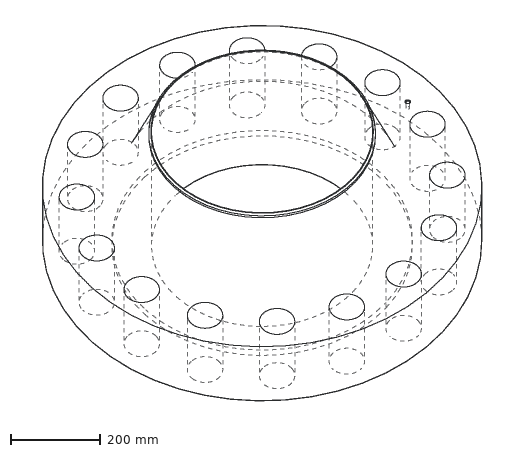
import cadquery as cq
import math

flange_diameter = 984.25
flange_thickness = 177.8
raised_face_diameter = 673.1
raised_face_height = 17.48

hub_base_diameter = 641.35
hub_base_fillet = 3.0
weld_end_diameter = 508.0
bore_diameter = 495.3
overall_height = 373.08
weld_root_face = 1.6
weld_bevel_angle = 37.5
weld_land_height = 6.0

bolt_count = 16
bolt_circle_diameter = 831.85
bolt_hole_diameter = 79.4

small_hole_countersink_diameter = 12.0
small_hole_diameter = 8.0
small_hole_depth = 20.0

flange_top = raised_face_height + flange_thickness
bolt_pitch_angle = 360 / bolt_count


def point_on_bolt_circle(angle):
    """Point on the bolt circle, at an angle in degrees from +X."""
    radius = bolt_circle_diameter / 2
    return (radius * math.cos(math.radians(angle)), radius * math.sin(math.radians(angle)))


def make_body():
    """Revolve the half section (radius, height) about Z and round the foot of the hub."""
    bore_radius = bore_diameter / 2
    weld_end_radius = weld_end_diameter / 2
    root_radius = bore_radius + weld_root_face
    bevel_height = (weld_end_radius - root_radius) * math.tan(math.radians(weld_bevel_angle))
    section = [
        (bore_radius, 0),
        (raised_face_diameter / 2, 0),
        (raised_face_diameter / 2, raised_face_height),
        (flange_diameter / 2, raised_face_height),
        (flange_diameter / 2, flange_top),
        (hub_base_diameter / 2, flange_top),
        (weld_end_radius, overall_height - bevel_height - weld_land_height),
        (weld_end_radius, overall_height - bevel_height),
        (root_radius, overall_height),
        (bore_radius, overall_height),
    ]
    body = cq.Workplane("XZ").polyline(section).close().revolve(360, (0, 0), (0, 1))
    hub_base_corner = cq.selectors.RadiusNthSelector(-3)
    return body.edges(hub_base_corner).fillet(hub_base_fillet)


def make_bolt_holes():
    """Through holes evenly spaced on the bolt circle."""
    centres = [point_on_bolt_circle(index * bolt_pitch_angle) for index in range(bolt_count)]
    return cq.Workplane("XY").pushPoints(centres).circle(bolt_hole_diameter / 2).extrude(flange_top)


def make_small_hole():
    """Countersunk blind hole sunk from the top face, half a bolt pitch past +Y."""
    centre = point_on_bolt_circle(90 + bolt_pitch_angle / 2)
    countersink_radius = small_hole_countersink_diameter / 2
    hole_radius = small_hole_diameter / 2
    countersink_depth = countersink_radius - hole_radius
    section = [
        (0, 0),
        (countersink_radius, 0),
        (hole_radius, -countersink_depth),
        (hole_radius, -small_hole_depth),
        (0, -small_hole_depth),
    ]
    hole = cq.Workplane("XZ").polyline(section).close().revolve(360, (0, 0), (0, 1))
    return hole.translate((*centre, flange_top))


result = make_body().cut(make_bolt_holes()).cut(make_small_hole())